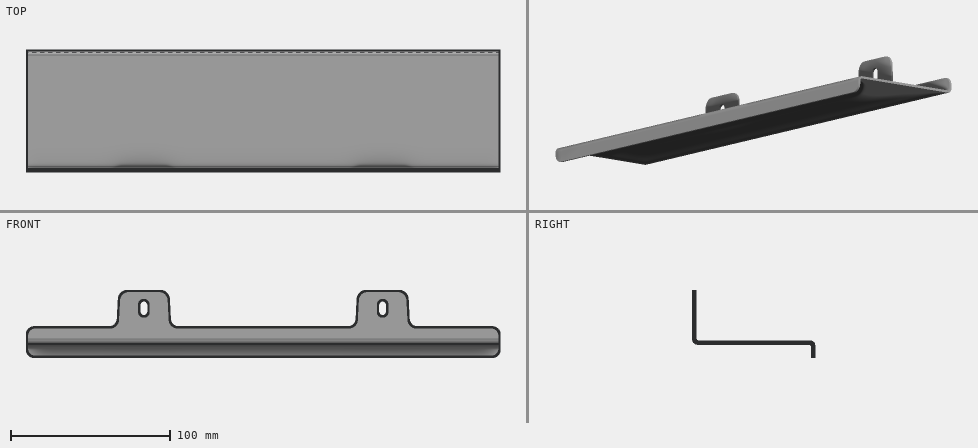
import cadquery as cq

length = 297.0
depth = 76.0
height = 41.5

thickness = 1.5
bend_inner_radius = 1.5
bend_outer_radius = bend_inner_radius + thickness
shelf_top = 9.8
shelf_bottom = shelf_top - thickness

flange_top = 18.7
flange_corner_radius = 5.0
tab_spacing = 150.0
tab_top_width = 31.0
tab_base_width = 33.3
tab_corner_radius = 6.0
tab_root_radius = 5.0

slot_width = 5.5
slot_height = 10.0
slot_center_z = 30.5

lip_corner_radius = 5.0

front_y = -depth / 2
rear_y = depth / 2
tab_centers = (-tab_spacing / 2, tab_spacing / 2)


def box(y_min, y_max, z_min, z_max):
    """Full-length block between the given Y and Z limits."""
    block = cq.Workplane("XY").box(length, y_max - y_min, z_max - z_min, centered=(True, False, False))
    return block.translate((0, y_min, z_min))


def bent_sheet():
    """Z-shaped sheet: tall front wall, flat shelf and short rear lip."""
    profile = (
        cq.Workplane("YZ", origin=(-length / 2, 0, 0))
        .moveTo(front_y, height)
        .lineTo(front_y, shelf_bottom + bend_outer_radius)
        .radiusArc((front_y + bend_outer_radius, shelf_bottom), -bend_outer_radius)
        .lineTo(rear_y - bend_outer_radius, shelf_bottom)
        .radiusArc((rear_y - thickness, shelf_bottom - bend_inner_radius), bend_inner_radius)
        .lineTo(rear_y - thickness, 0)
        .lineTo(rear_y, 0)
        .lineTo(rear_y, shelf_top - bend_outer_radius)
        .radiusArc((rear_y - bend_outer_radius, shelf_top), -bend_outer_radius)
        .lineTo(front_y + bend_outer_radius, shelf_top)
        .radiusArc((front_y + thickness, shelf_top + bend_inner_radius), bend_inner_radius)
        .lineTo(front_y + thickness, height)
        .close()
    )
    return profile.extrude(length)


def tab(center_x):
    """Tapered mounting tab, rising from the front flange."""
    blank = (
        cq.Workplane("XZ", origin=(center_x, front_y + thickness, 0))
        .moveTo(-tab_base_width / 2, flange_top)
        .lineTo(-tab_top_width / 2, height)
        .lineTo(tab_top_width / 2, height)
        .lineTo(tab_base_width / 2, flange_top)
        .close()
        .extrude(thickness)
    )
    return blank.edges("|Y and >Z").fillet(tab_corner_radius)


def slot(center_x):
    """Upright round-ended slot through the front wall."""
    return (
        cq.Workplane("XZ", origin=(center_x, front_y + thickness, slot_center_z))
        .slot2D(slot_height, slot_width, 90)
        .extrude(thickness)
    )


result = bent_sheet().cut(box(front_y, front_y + thickness, flange_top, height))
result = result.edges("|Y and >Z").fillet(flange_corner_radius)
result = result.edges("|Y and <Z").fillet(lip_corner_radius)

for center_x in tab_centers:
    result = result.union(tab(center_x))

for center_x in tab_centers:
    for side in (-1, 1):
        root = (center_x + side * tab_base_width / 2, front_y + thickness / 2, flange_top)
        result = result.edges(cq.NearestToPointSelector(root)).fillet(tab_root_radius)
    result = result.cut(slot(center_x))